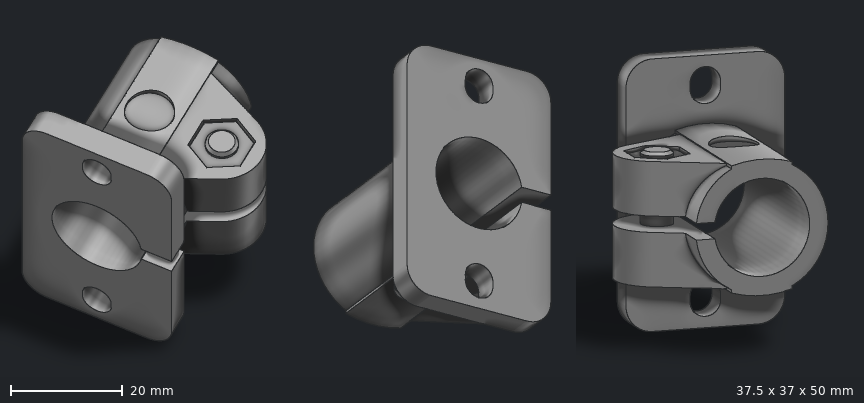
import cadquery as cq
import math

PLATE_WIDTH = 30
PLATE_HEIGHT = 50
PLATE_THICKNESS = 5
PLATE_CORNER_RADIUS = 5
SLOT_WIDTH = 5.75
SLOT_LENGTH = 6.75
SLOT_OFFSET = 19.5

TUBE_END = 37
TUBE_RADIUS = 12.5
BORE_DIAMETER = 18
GAP_WIDTH = 3

PAD_HALF_WIDTH = 5.75
PAD_CROWN_HEIGHT = TUBE_RADIUS
PAD_EDGE_HEIGHT = 11.65
RECESS_DIAMETER = 9
RECESS_FLOOR_HEIGHT = 11.5

LUG_CENTER_X = 14.5
LUG_CENTER_Y = (PLATE_THICKNESS + TUBE_END) / 2
LUG_RADIUS = 8
LUG_ROOT_HALF_WIDTH = 13
LUG_HALF_HEIGHT = 11.5

BOLT_DIAMETER = 6
HEAD_DIAMETER = 10
HEAD_HEIGHT = 6
BOLT_HALF_LENGTH = LUG_HALF_HEIGHT + 0.5
BOLT_CHAMFER = 0.6
NUT_ACROSS_FLATS = 10
NUT_POCKET_ACROSS_FLATS = 10.5
NUT_TOP = LUG_HALF_HEIGHT - 0.6
NUT_POCKET_FLOOR = 6


def cylinder_z(diameter, bottom, top):
    """Vertical cylinder on the bolt axis."""
    return (
        cq.Workplane("XY", origin=(LUG_CENTER_X, LUG_CENTER_Y, bottom))
        .circle(diameter / 2)
        .extrude(top - bottom)
    )


def hexagon_z(across_flats, bottom, top):
    """Vertical hexagonal prism on the bolt axis, with corners toward +Y and -Y."""
    corner_diameter = across_flats / math.cos(math.pi / 6)
    prism = cq.Workplane("XY").polygon(6, corner_diameter).extrude(top - bottom)
    turned = prism.rotate((0, 0, 0), (0, 0, 1), 30)
    return turned.translate((LUG_CENTER_X, LUG_CENTER_Y, bottom))


def make_plate():
    plate = (
        cq.Workplane("XZ")
        .rect(PLATE_WIDTH, PLATE_HEIGHT)
        .extrude(-PLATE_THICKNESS)
        .edges("|Y")
        .fillet(PLATE_CORNER_RADIUS)
    )
    slots = (
        cq.Workplane("XZ")
        .pushPoints([(0, -SLOT_OFFSET), (0, SLOT_OFFSET)])
        .slot2D(SLOT_LENGTH, SLOT_WIDTH, 90)
        .extrude(-PLATE_THICKNESS)
    )
    return plate.cut(slots)


def make_pads():
    pads = (
        cq.Workplane("XZ")
        .moveTo(-PAD_HALF_WIDTH, -PAD_EDGE_HEIGHT)
        .lineTo(-PAD_HALF_WIDTH, PAD_EDGE_HEIGHT)
        .threePointArc((0, PAD_CROWN_HEIGHT), (PAD_HALF_WIDTH, PAD_EDGE_HEIGHT))
        .lineTo(PAD_HALF_WIDTH, -PAD_EDGE_HEIGHT)
        .threePointArc((0, -PAD_CROWN_HEIGHT), (-PAD_HALF_WIDTH, -PAD_EDGE_HEIGHT))
        .close()
        .extrude(-TUBE_END)
    )
    return pads


def make_tube():
    """Round tube body running through the plate."""
    return cq.Workplane("XZ").circle(TUBE_RADIUS).extrude(-TUBE_END)


def make_lug():
    """Tapered lug whose straight sides run tangent into its rounded end."""
    run = LUG_CENTER_X - PAD_HALF_WIDTH
    root_distance = math.hypot(run, LUG_ROOT_HALF_WIDTH)
    root_angle = math.atan2(LUG_ROOT_HALF_WIDTH, -run)
    tangent_angle = root_angle - math.acos(LUG_RADIUS / root_distance)
    tangent_x = LUG_CENTER_X + LUG_RADIUS * math.cos(tangent_angle)
    tangent_y = LUG_RADIUS * math.sin(tangent_angle)
    return (
        cq.Workplane("XY", origin=(0, LUG_CENTER_Y, -LUG_HALF_HEIGHT))
        .moveTo(PAD_HALF_WIDTH, -LUG_ROOT_HALF_WIDTH)
        .lineTo(tangent_x, -tangent_y)
        .threePointArc((LUG_CENTER_X + LUG_RADIUS, 0), (tangent_x, tangent_y))
        .lineTo(PAD_HALF_WIDTH, LUG_ROOT_HALF_WIDTH)
        .close()
        .extrude(2 * LUG_HALF_HEIGHT)
    )


def cut_recesses(body):
    """Round flat-bottomed recess in the top and bottom pads."""
    depth = PAD_CROWN_HEIGHT - RECESS_FLOOR_HEIGHT
    for bottom in (RECESS_FLOOR_HEIGHT, -PAD_CROWN_HEIGHT):
        recess = (
            cq.Workplane("XY", origin=(0, LUG_CENTER_Y, bottom))
            .circle(RECESS_DIAMETER / 2)
            .extrude(depth)
        )
        body = body.cut(recess)
    return body


def cut_bore_and_gap(body):
    bore = cq.Workplane("XZ").circle(BORE_DIAMETER / 2).extrude(-TUBE_END)
    gap_length = LUG_CENTER_X + LUG_RADIUS
    gap = cq.Workplane("XY").box(gap_length, TUBE_END, GAP_WIDTH, centered=(False, False, True))
    return body.cut(bore).cut(gap)


def make_bolt():
    """Bolt with a round head underneath; both ends are chamfered."""
    shank = cylinder_z(BOLT_DIAMETER, -BOLT_HALF_LENGTH, BOLT_HALF_LENGTH)
    shank = shank.faces(">Z").chamfer(BOLT_CHAMFER)
    head = cylinder_z(HEAD_DIAMETER, -BOLT_HALF_LENGTH, HEAD_HEIGHT - BOLT_HALF_LENGTH)
    head = head.faces("<Z").chamfer(BOLT_CHAMFER)
    return shank.union(head)


body = make_plate().union(make_tube()).union(make_pads()).union(make_lug())
body = cut_bore_and_gap(cut_recesses(body))

head_seat = cylinder_z(HEAD_DIAMETER, -LUG_HALF_HEIGHT, HEAD_HEIGHT - BOLT_HALF_LENGTH)
nut_pocket = hexagon_z(NUT_POCKET_ACROSS_FLATS, NUT_POCKET_FLOOR, LUG_HALF_HEIGHT)
body = body.cut(head_seat).cut(nut_pocket)

nut = hexagon_z(NUT_ACROSS_FLATS, NUT_POCKET_FLOOR, NUT_TOP)
result = body.union(nut).union(make_bolt())